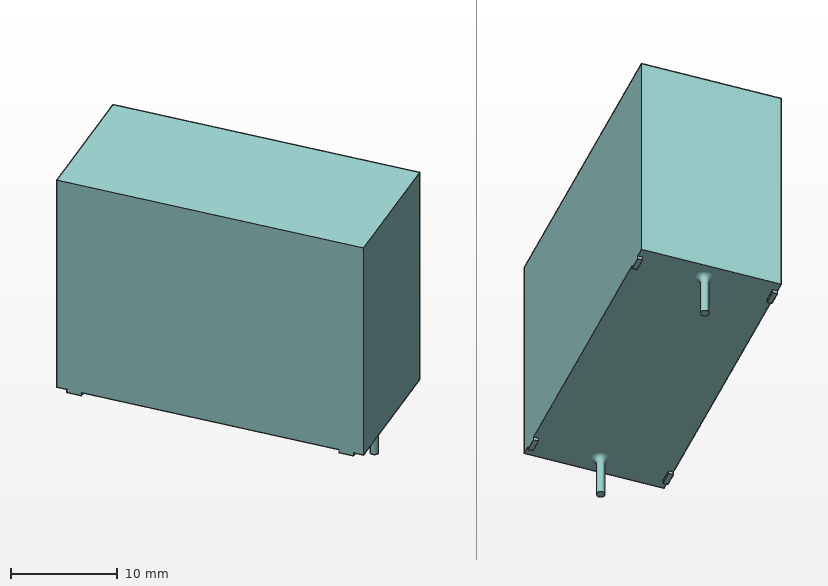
import cadquery as cq
import math

body_length = 31.0
body_width = 14.0
overall_height = 27.5

lead_diameter = 0.8
lead_pitch = 27.5
lead_length = 4.35
lead_flare_radius = 0.55

foot_length = 1.5
foot_width = 0.5
foot_height = 0.35

body_height = overall_height - lead_length
lead_radius = lead_diameter / 2
lead_positions = (-lead_pitch / 2, lead_pitch / 2)


def make_body():
    """Plain rectangular case, standing on z = 0."""
    return cq.Workplane("XY").box(body_length, body_width, body_height, centered=(True, True, False))


def make_foot(x, side):
    """Stand-off foot, flush with the long face on the given side (-1 or 1)."""
    y = side * (body_width - foot_width) / 2
    return cq.Workplane("XY", origin=(x, y, 0)).rect(foot_length, foot_width).extrude(-foot_height)


def make_lead(x):
    """Round lead that flares through a concave quarter arc into the underside of the case."""
    flare_top_radius = lead_radius + lead_flare_radius
    arc_middle_offset = lead_flare_radius * (1 - math.cos(math.radians(45)))
    return (
        cq.Workplane("XZ", origin=(x, 0, 0))
        .lineTo(flare_top_radius, 0)
        .threePointArc(
            (lead_radius + arc_middle_offset, -arc_middle_offset),
            (lead_radius, -lead_flare_radius),
        )
        .lineTo(lead_radius, -lead_length)
        .lineTo(0, -lead_length)
        .close()
        .revolve(360, (0, 0, 0), (0, 1, 0))
    )


result = make_body()
for lead_x in lead_positions:
    result = result.union(make_lead(lead_x))
    for foot_side in (-1, 1):
        result = result.union(make_foot(lead_x, foot_side))